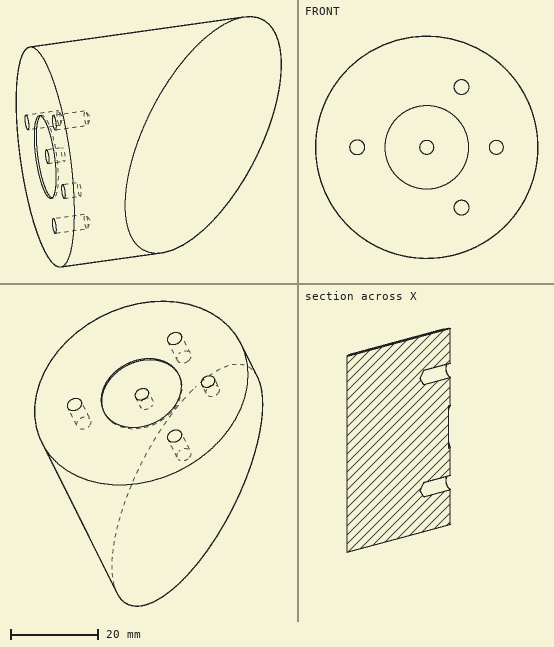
import cadquery as cq
import math

body_diameter = 50.8
body_length = 62.8
body_radius = body_diameter / 2
short_side_length = body_length - body_diameter

recess_diameter = 19.1
recess_depth = 0.5

hole_circle_radius = 15.9
tapped_hole_diameter = 3.4
tapped_hole_depth = 7.55
tapped_hole_angles = (60, 180, 300)
drill_point_angle = 118
pin_hole_diameter = 3.2
pin_hole_depth = 3.75


def slanted_cylinder():
    """Cylinder whose far end slopes from full length at -X to the short side at +X."""
    cylinder = cq.Workplane("XZ").circle(body_radius).extrude(-body_length)
    side_profile = (
        cq.Workplane("XY")
        .moveTo(-body_radius, 0)
        .lineTo(body_radius, 0)
        .lineTo(body_radius, short_side_length)
        .lineTo(-body_radius, body_length)
        .close()
        .extrude(body_radius, both=True)
    )
    return cylinder.intersect(side_profile)


def flat_hole(x, z, diameter, depth):
    """Flat-bottomed round cutter entering the base in the +Y direction."""
    return cq.Workplane("XZ").center(x, z).circle(diameter / 2).extrude(-depth)


def drilled_hole(x, z, diameter, depth):
    """Round cutter with a conical drill point beyond its full-diameter depth."""
    radius = diameter / 2
    point_length = radius / math.tan(math.radians(drill_point_angle / 2))
    cone = cq.Solid.makeCone(
        radius, 0, point_length, pnt=cq.Vector(x, depth, z), dir=cq.Vector(0, 1, 0)
    )
    return flat_hole(x, z, diameter, depth).union(cq.Workplane(cone))


result = slanted_cylinder()
result = result.cut(flat_hole(0, 0, recess_diameter, recess_depth))

result = result.cut(flat_hole(0, 0, pin_hole_diameter, recess_depth + pin_hole_depth))
result = result.cut(flat_hole(hole_circle_radius, 0, pin_hole_diameter, pin_hole_depth))

for angle in tapped_hole_angles:
    hole_x = hole_circle_radius * math.cos(math.radians(angle))
    hole_z = hole_circle_radius * math.sin(math.radians(angle))
    result = result.cut(drilled_hole(hole_x, hole_z, tapped_hole_diameter, tapped_hole_depth))